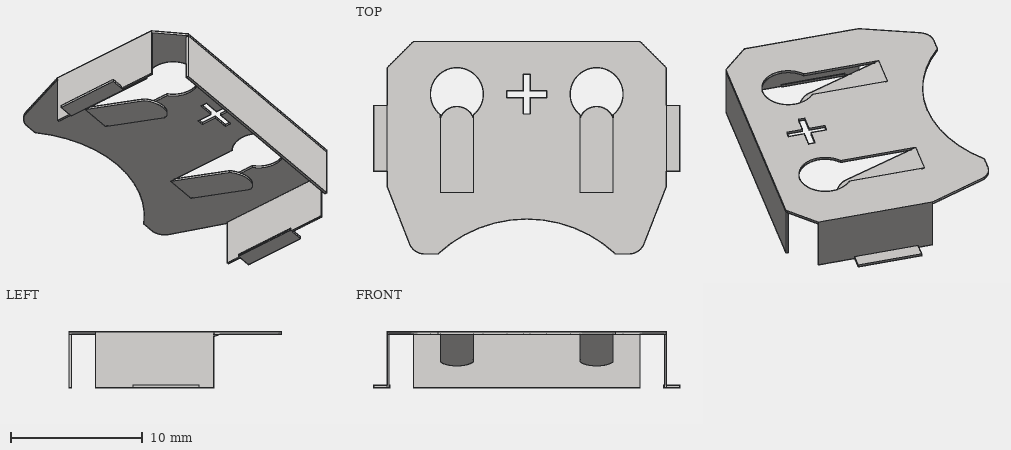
import cadquery as cq

overall_length = 23.25
overall_depth = 16.13
overall_height = 4.25
sheet = 0.2
plate_bottom = overall_height - sheet

plate_half_width = 10.6
corner_inset = 2.0
rear_half_width = plate_half_width - corner_inset
front_corner_radius = 1.25
scoop_half_width = 6.75
scoop_depth = 2.65

side_wall_thickness = 0.15
side_wall_length = 9.0
side_wall_rear = overall_depth - corner_inset
side_wall_front = side_wall_rear - side_wall_length
foot_length = 1.25
foot_width = 5.0
foot_rear = overall_depth - 4.85

keyhole_x = 5.3
hole_radius = 2.0
hole_y = overall_depth - 4.0
tongue_width = 2.5
hinge_y = overall_depth - 11.45
tongue_reach = 6.53
tongue_drop = 2.4
tip_rise = 0.88

cross_length = 3.0
cross_width = 0.5


def block(x_min, x_max, y_min, y_max, z_min, z_max):
    """Box between the given limits."""
    size = (x_max - x_min, y_max - y_min, z_max - z_min)
    return cq.Workplane("XY").box(*size, centered=False).translate((x_min, y_min, z_min))


def make_plate():
    """Plate with chamfered rear corners, tapered front corners and a front scoop."""
    plate = (
        cq.Workplane("XY", origin=(0, 0, plate_bottom))
        .moveTo(-scoop_half_width, 0)
        .threePointArc((0, scoop_depth), (scoop_half_width, 0))
        .lineTo(rear_half_width, 0)
        .lineTo(plate_half_width, side_wall_front)
        .lineTo(plate_half_width, side_wall_rear)
        .lineTo(rear_half_width, overall_depth)
        .lineTo(-rear_half_width, overall_depth)
        .lineTo(-plate_half_width, side_wall_rear)
        .lineTo(-plate_half_width, side_wall_front)
        .lineTo(-rear_half_width, 0)
        .close()
        .extrude(sheet)
    )
    front_corners = cq.selectors.BoxSelector(
        (-rear_half_width - 0.23, -0.23, 0), (-rear_half_width + 0.23, 0.23, overall_height)
    ) + cq.selectors.BoxSelector(
        (rear_half_width - 0.23, -0.23, 0), (rear_half_width + 0.23, 0.23, overall_height)
    )
    return plate.edges("|Z").edges(front_corners).fillet(front_corner_radius)


def make_keyhole(x):
    """Cutter for a round hole with a slot running forward to the tongue hinge."""
    hole = (
        cq.Workplane("XY", origin=(x, hole_y, plate_bottom))
        .circle(hole_radius)
        .extrude(sheet)
    )
    half = tongue_width / 2
    slot = block(x - half, x + half, hinge_y, hole_y, plate_bottom, overall_height)
    return hole.union(slot)


def make_tongue(x):
    """Sloping strip with a rounded tip, falling rearward from the hinge."""
    tip_y = hinge_y + tongue_reach
    half = tongue_width / 2
    slope = (
        cq.Workplane("YZ", origin=(x - half, 0, 0))
        .moveTo(hinge_y, plate_bottom)
        .lineTo(hinge_y, overall_height)
        .lineTo(tip_y, overall_height - tongue_drop)
        .lineTo(tip_y, plate_bottom - tongue_drop)
        .close()
        .extrude(tongue_width)
    )
    outline = (
        cq.Workplane("XY")
        .moveTo(x - half, hinge_y)
        .lineTo(x + half, hinge_y)
        .lineTo(x + half, tip_y - tip_rise)
        .threePointArc((x, tip_y), (x - half, tip_y - tip_rise))
        .close()
        .extrude(overall_height)
    )
    return slope.intersect(outline)


def make_cross():
    """Cutter for the plus-shaped polarity mark."""
    return (
        cq.Workplane("XY", origin=(0, hole_y, plate_bottom))
        .rect(cross_length, cross_width)
        .extrude(sheet)
        .union(
            cq.Workplane("XY", origin=(0, hole_y, plate_bottom))
            .rect(cross_width, cross_length)
            .extrude(sheet)
        )
    )


def make_side():
    """Left side wall with the foot that passes through its lower edge."""
    left = -plate_half_width
    wall = block(left, left + side_wall_thickness, side_wall_front, side_wall_rear, 0, overall_height)
    foot_left = -overall_length / 2
    foot = block(foot_left, foot_left + foot_length, foot_rear - foot_width, foot_rear, 0, sheet)
    return wall.union(foot)


def make_retainer():
    """Plate, side walls, feet and spring tongues as one sheet part."""
    body = make_plate().cut(make_cross())
    side = make_side()
    body = body.union(side).union(side.mirror("YZ"))
    for x in (-keyhole_x, keyhole_x):
        body = body.cut(make_keyhole(x)).union(make_tongue(x))
    return body


def make_rear_wall():
    """Upright wall seated under the rear edge of the plate."""
    return block(
        -rear_half_width, rear_half_width, overall_depth - sheet, overall_depth, 0, plate_bottom
    )


retainer = make_retainer()
rear_wall = make_rear_wall()
result = cq.Compound.makeCompound([retainer.val(), rear_wall.val()])